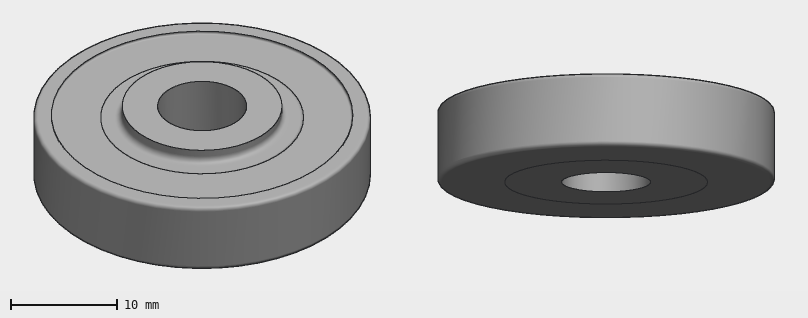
import cadquery as cq

outer_radius = 15.85
rim_height = 7.0
rim_fillet = 0.4

recess_radius = 14.17
recess_depth = 0.32
recess_fillet = 0.2
shield_height = rim_height - recess_depth
shield_bore_radius = 9.55

total_height = 8.0
bore_radius = 4.2
collar_radius = 7.5
collar_fillet = 0.65
lip_width = 0.25
lip_rise = 0.1
floor_height = shield_height - lip_rise
floor_radius = shield_bore_radius - lip_width

DIAGONAL = 0.5**0.5


def revolve_about_z(profile):
    """Close a radius-height profile and turn it fully about the Z axis."""
    return profile.close().revolve(360, (0, 0, 0), (0, 1, 0))


def make_outer_ring():
    """Outer ring with rounded rims and a shield set into a filleted recess."""
    rim_face_radius = outer_radius - rim_fillet
    side_bottom = rim_fillet
    side_top = rim_height - rim_fillet
    rim_middle_radius = rim_face_radius + rim_fillet * DIAGONAL
    lower_rim_middle = (rim_middle_radius, side_bottom - rim_fillet * DIAGONAL)
    upper_rim_middle = (rim_middle_radius, side_top + rim_fillet * DIAGONAL)

    fillet_foot_radius = recess_radius - recess_fillet
    fillet_top = shield_height + recess_fillet
    recess_fillet_middle = (
        fillet_foot_radius + recess_fillet * DIAGONAL,
        fillet_top - recess_fillet * DIAGONAL,
    )
    return revolve_about_z(
        cq.Workplane("XZ")
        .moveTo(shield_bore_radius, 0)
        .lineTo(rim_face_radius, 0)
        .threePointArc(lower_rim_middle, (outer_radius, side_bottom))
        .lineTo(outer_radius, side_top)
        .threePointArc(upper_rim_middle, (rim_face_radius, rim_height))
        .lineTo(recess_radius, rim_height)
        .lineTo(recess_radius, fillet_top)
        .threePointArc(recess_fillet_middle, (fillet_foot_radius, shield_height))
        .lineTo(shield_bore_radius, shield_height)
    )


def make_inner_ring():
    """Bored inner ring with a filleted collar and a concave lip at its outer edge."""
    collar_bottom = floor_height + collar_fillet
    collar_foot_radius = collar_radius + collar_fillet
    collar_fillet_middle = (
        collar_foot_radius - collar_fillet * DIAGONAL,
        collar_bottom - collar_fillet * DIAGONAL,
    )
    return revolve_about_z(
        cq.Workplane("XZ")
        .moveTo(shield_bore_radius, shield_height)
        .lineTo(shield_bore_radius, 0)
        .lineTo(bore_radius, 0)
        .lineTo(bore_radius, total_height)
        .lineTo(collar_radius, total_height)
        .lineTo(collar_radius, collar_bottom)
        .threePointArc(collar_fillet_middle, (collar_foot_radius, floor_height))
        .lineTo(floor_radius, floor_height)
        .tangentArcPoint((shield_bore_radius, shield_height), relative=False)
    )


outer_ring = make_outer_ring()
inner_ring = make_inner_ring()

result = cq.Compound.makeCompound([outer_ring.val(), inner_ring.val()])